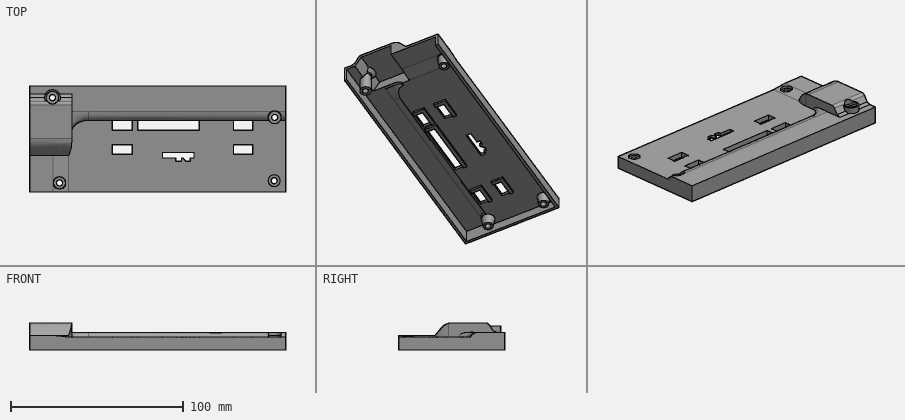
import cadquery as cq
import math

length = 148.64
width = 61.66
bump_top = 15.85
plate_top = 7.6
ledge_top = 10.3
front_pad_top = 8.55
skin = 1.8
rear_wall = 1.5
end_wall = 1.5
overcut = 5.0

ledge_crest_y = 46.7
ledge_toe_y = 41.6
ledge_toe_direction = (-0.4, -1)
ledge_inner_setback = 0.9
ledge_overlap = 1.0
ledge_root_z = plate_top - skin / 2
flare_length = 9.8
flare_width = 6.8
flare_sections = 5

bump_end_x = 24.4
bump_rear_foot_y = 57.0
bump_rear_knee_y = 54.8
bump_rear_knee_rise = 0.95
bump_rear_shoulder_y = 52.6
bump_rear_shoulder_drop = 1.2
bump_rear_crest_y = 50.3
bump_front_crest_y = 31.0
bump_front_toe_y = 21.1
bump_toe_direction = (-1, -0.9)
bump_corner_y = 29.0
bump_cavity_rear_y = 54.7
bump_cavity_crest_y = 50.6

ramp_start_x = 13.5
ramp_end_x = 22.5

rear_post = (13.2, 54.8)
ledge_post = (142.2, 43.3)
front_posts = [(17.3, 5.3), (141.9, 6.6)]
screw_hole_diameter = 3.4
post_tip_diameter = 5.9
rear_post_flare_z = 11.3
rear_post_diameter = 6.7
rear_collar_diameter = 9.2
rear_collar_top = 14.05
head_diameter = 6.9
wide_head_diameter = 7.3
head_wall = 0.4
head_seat_z = 6.55
rear_head_depth = 1.6

narrow_windows_x = [(48.0, 59.4), (118.4, 129.4)]
long_window_x = (62.8, 98.3)
window_depth_y = 5.45
rear_window_y = 35.95
front_window_y = 21.95
lip_width = 2.2
lip_bottom = 4.45

slot_left_x = 77.2
slot_right_x = 95.3
slot_rear_y = 22.9
slot_front_y = 19.8
notch_front_y = 17.9
square_notch_x = (84.8, 88.0)
slant_notch_x = (88.9, 93.1)


def block(x_range, y_range, z_range):
    """Box between two limits along each axis."""
    sizes = [high - low for low, high in (x_range, y_range, z_range)]
    corner = (x_range[0], y_range[0], z_range[0])
    return cq.Workplane("XY").box(*sizes, centered=False).translate(corner)


def disc(center, diameter, z_bottom, z_top):
    """Upright cylinder."""
    plane = cq.Workplane("XY", origin=(center[0], center[1], z_bottom))
    return plane.circle(diameter / 2).extrude(z_top - z_bottom)


def ledge_section(x, toe_y):
    """Round fall from the ledge crest to its toe, with its root reaching in under the flat."""
    return (
        cq.Workplane("YZ", origin=(x, 0, 0))
        .moveTo(ledge_crest_y + ledge_overlap, ledge_root_z)
        .lineTo(ledge_crest_y, ledge_top)
        .spline([(toe_y, plate_top)], tangents=[(-1, 0), ledge_toe_direction], includeCurrent=True)
        .lineTo(toe_y, ledge_root_z)
        .close()
    )


def ledge_body(x_end, rear_y):
    """Ledge whose toe flares forward in a quarter ellipse next to the bump."""
    x_start = bump_end_x - skin
    flare_end_x = bump_end_x + flare_length
    wires = []
    for i in range(flare_sections):
        angle = math.pi / 2 * i / (flare_sections - 1)
        x = flare_end_x - flare_length * math.sin(angle)
        toe_y = ledge_toe_y - flare_width * (1 - math.cos(angle))
        wires.append(ledge_section(x, toe_y).val())
    flare = cq.Workplane(obj=cq.Solid.makeLoft(wires, False))
    straight = ledge_section(flare_end_x, ledge_toe_y).extrude(x_end - flare_end_x)
    under_bump = ledge_section(x_start, ledge_toe_y - flare_width).extrude(bump_end_x - x_start)
    flat = block((x_start, x_end), (ledge_crest_y, rear_y), (ledge_root_z, ledge_top))
    return flat.union(flare).union(straight).union(under_bump)


def front_pad(x_start, y_range):
    """Pad that ramps down to the plate level."""
    return (
        cq.Workplane("XZ", origin=(0, y_range[0], 0))
        .moveTo(x_start, 0)
        .lineTo(x_start, front_pad_top)
        .lineTo(ramp_start_x, front_pad_top)
        .lineTo(ramp_end_x, plate_top)
        .lineTo(ramp_end_x, 0)
        .close()
        .extrude(y_range[0] - y_range[1])
    )


def bump_outer():
    """Raised bump with an eased step to the rear and a rounded slope to the front."""
    prism = (
        cq.Workplane("YZ")
        .moveTo(bump_rear_foot_y, 0)
        .lineTo(bump_rear_foot_y, ledge_top)
        .lineTo(bump_rear_knee_y, ledge_top + bump_rear_knee_rise)
        .lineTo(bump_rear_shoulder_y, bump_top - bump_rear_shoulder_drop)
        .tangentArcPoint((bump_rear_crest_y, bump_top), relative=False)
        .lineTo(bump_front_crest_y, bump_top)
        .spline(
            [(bump_front_toe_y, front_pad_top)],
            tangents=[(-1, 0), bump_toe_direction],
            includeCurrent=True,
        )
        .lineTo(bump_front_toe_y, 0)
        .close()
        .extrude(bump_end_x)
    )
    footprint = (
        cq.Workplane("XY")
        .lineTo(0, width)
        .lineTo(bump_end_x, width)
        .lineTo(bump_end_x, bump_corner_y)
        .tangentArcPoint((ramp_end_x, bump_front_toe_y), relative=False)
        .lineTo(ramp_end_x, 0)
        .close()
        .extrude(bump_top)
    )
    return prism.intersect(footprint)


def bump_cavity():
    """Hollow under the bump; the front slope stays solid."""
    return (
        cq.Workplane("YZ", origin=(-overcut, 0, 0))
        .moveTo(bump_cavity_rear_y, 0)
        .lineTo(bump_cavity_rear_y, ledge_top - skin)
        .lineTo(bump_cavity_crest_y, bump_top - skin)
        .lineTo(bump_front_crest_y, bump_top - skin)
        .lineTo(bump_front_crest_y, 0)
        .close()
        .extrude(overcut + bump_end_x - skin)
    )


def cover_outer():
    """Solid envelope of the plate, ledge, pad and bump."""
    plate = block((0, length), (0, width), (0, plate_top))
    return (
        plate.union(ledge_body(length, width))
        .union(block((0, bump_end_x), (bump_front_crest_y, width), (0, ledge_top)))
        .union(front_pad(0, (0, bump_front_crest_y)))
        .union(bump_outer())
    )


def cover_cavity():
    """Hollow below the skin, open underneath and at the left end."""
    inner_end_x = length - end_wall
    inner_rear_y = width - rear_wall
    plate_space = block((-overcut, inner_end_x), (skin, inner_rear_y), (-skin, plate_top - skin))
    ledge_space = ledge_body(inner_end_x, inner_rear_y - ledge_inner_setback)
    ledge_space = ledge_space.translate((0, ledge_inner_setback, -skin))
    step_space = block(
        (-overcut, bump_end_x - skin),
        (bump_front_crest_y, inner_rear_y),
        (-skin, ledge_top - skin),
    )
    pad_space = front_pad(-overcut, (skin, bump_front_crest_y)).translate((0, 0, -skin))
    return plate_space.union(ledge_space).union(step_space).union(pad_space).union(bump_cavity())


def tapered_post(center, head_cut_diameter, top_z):
    """Screw post with a cup around the screw head and a shank that narrows to its tip."""
    cup_diameter = head_cut_diameter + 2 * head_wall
    cup_bottom = plate_top - skin
    shank = (
        cq.Workplane("XY", origin=(center[0], center[1], 0))
        .circle(post_tip_diameter / 2)
        .workplane(offset=cup_bottom)
        .circle(cup_diameter / 2)
        .loft(ruled=True)
    )
    return shank.union(disc(center, cup_diameter, cup_bottom, top_z))


def rear_post_body():
    """Straight post with a collar above the ledge and a 45 degree flare inside the bump."""
    radius = rear_post_diameter / 2
    flare_height = bump_top - rear_post_flare_z
    flare = (
        cq.Workplane("XY", origin=(rear_post[0], rear_post[1], rear_post_flare_z))
        .circle(radius)
        .workplane(offset=flare_height)
        .circle(radius + flare_height)
        .loft(ruled=True)
        .intersect(bump_cavity())
    )
    return disc(rear_post, rear_post_diameter, 0, rear_collar_top).union(flare)


def screw_cut(center, head_cut_diameter, seat_z, top_z):
    """Through hole with a recess for the screw head."""
    hole = disc(center, screw_hole_diameter, -overcut, top_z)
    return hole.union(disc(center, head_cut_diameter, seat_z, top_z))


def window_positions():
    """Left edge, right edge and front edge of every window."""
    positions = [(*long_window_x, rear_window_y)]
    for left, right in narrow_windows_x:
        positions.append((left, right, rear_window_y))
        positions.append((left, right, front_window_y))
    return positions


def window_lip(left, right, front):
    """Rim under the skin along the front edge and the left end of a window."""
    return block(
        (left - lip_width, right),
        (front - lip_width, front + window_depth_y),
        (lip_bottom, plate_top - skin),
    )


def window_cut(left, right, front):
    """Opening through the plate and its lip."""
    return block((left, right), (front, front + window_depth_y), (0, plate_top))


def stepped_slot():
    """Slot with one square notch and one notch with a slanted side."""
    slant_run = slot_front_y - notch_front_y
    outline = [
        (slot_left_x, slot_rear_y),
        (slot_right_x, slot_rear_y),
        (slot_right_x, slot_front_y),
        (slant_notch_x[1], slot_front_y),
        (slant_notch_x[1], notch_front_y),
        (slant_notch_x[0] + slant_run, notch_front_y),
        (slant_notch_x[0], slot_front_y),
        (square_notch_x[1], slot_front_y),
        (square_notch_x[1], notch_front_y),
        (square_notch_x[0], notch_front_y),
        (square_notch_x[0], slot_front_y),
        (slot_left_x, slot_front_y),
    ]
    return cq.Workplane("XY").polyline(outline).close().extrude(plate_top)


rear_collar = disc(rear_post, rear_collar_diameter, ledge_top - skin, rear_collar_top)
result = cover_outer().union(rear_collar).cut(cover_cavity())

result = result.union(rear_post_body())
ledge_cup = tapered_post(ledge_post, wide_head_diameter, ledge_top)
result = result.union(ledge_cup.intersect(cover_outer()))
for post in front_posts:
    result = result.union(tapered_post(post, head_diameter, plate_top))

rear_seat_z = rear_collar_top - rear_head_depth
result = result.cut(screw_cut(rear_post, wide_head_diameter, rear_seat_z, bump_top))
result = result.cut(screw_cut(ledge_post, wide_head_diameter, head_seat_z, bump_top))
for post in front_posts:
    result = result.cut(screw_cut(post, head_diameter, head_seat_z, bump_top))

for left, right, front in window_positions():
    result = result.union(window_lip(left, right, front))
for left, right, front in window_positions():
    result = result.cut(window_cut(left, right, front))
result = result.cut(stepped_slot())